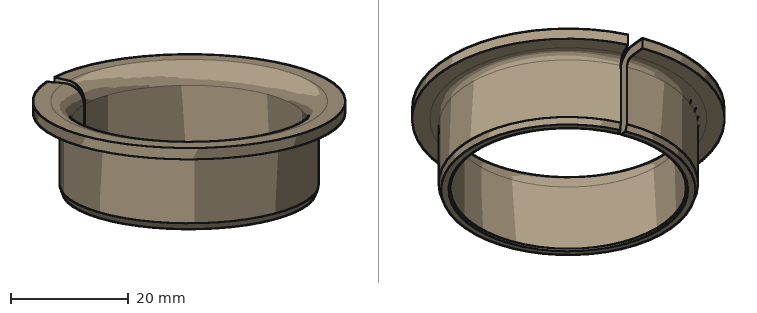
import cadquery as cq
import math

flange_radius = 26.5
flange_thickness = 2.0
total_height = 16.0
outer_radius = 22.0
wall_thickness = 2.0
inner_bend_radius = 3.5
lead_chamfer_height = 1.2
lead_chamfer_angle = 20.0
bore_chamfer = 0.3
slit_inner_width = 0.4
slit_half_angle = 10.0

inner_radius = outer_radius - wall_thickness
outer_bend_radius = inner_bend_radius - flange_thickness
flange_bottom = total_height - flange_thickness
bend_center_radius = inner_radius + inner_bend_radius
bend_center_height = total_height - inner_bend_radius
lead_chamfer_width = lead_chamfer_height * math.tan(math.radians(lead_chamfer_angle))


def bend_midpoint(radius):
    """Point halfway along the quarter bend between tube and flange."""
    offset = radius * math.sqrt(0.5)
    return bend_center_radius - offset, bend_center_height + offset


def make_bushing():
    """Revolve the wall section: a tube bent outward into a flange."""
    section = (
        cq.Workplane("XZ")
        .moveTo(inner_radius, bore_chamfer)
        .lineTo(inner_radius + bore_chamfer, 0)
        .lineTo(outer_radius - lead_chamfer_width, 0)
        .lineTo(outer_radius, lead_chamfer_height)
        .lineTo(outer_radius, bend_center_height)
        .threePointArc(bend_midpoint(outer_bend_radius), (bend_center_radius, flange_bottom))
        .lineTo(flange_radius, flange_bottom)
        .lineTo(flange_radius, total_height)
        .lineTo(bend_center_radius, total_height)
        .threePointArc(bend_midpoint(inner_bend_radius), (inner_radius, bend_center_height))
        .close()
    )
    bushing = section.revolve(360, (0, 0, 0), (0, 1, 0))
    return bushing.rotate((0, 0, 0), (0, 0, 1), 180)


def make_slit():
    """Full-height wedge on the -X side that widens outward from the bore."""
    slope = math.tan(math.radians(slit_half_angle))
    apex_radius = inner_radius - slit_inner_width / 2 / slope
    reach = flange_radius + wall_thickness
    half_width = (reach - apex_radius) * slope
    return (
        cq.Workplane("XY")
        .polyline([(-apex_radius, 0), (-reach, half_width), (-reach, -half_width)])
        .close()
        .extrude(total_height)
    )


result = make_bushing().cut(make_slit())